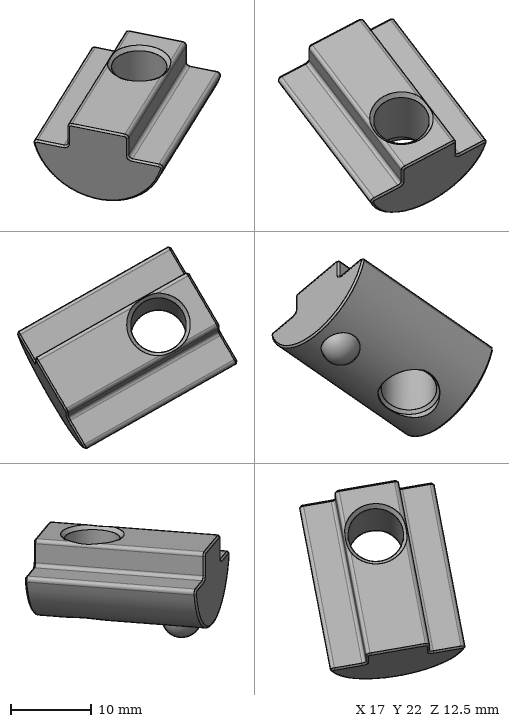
import cadquery as cq
import math

length = 22.0
neck_width = 8.0
neck_height = 3.5
body_height = 10.67
belly_radius = 8.8
edge_radius = 0.5
end_chamfer = 0.25

hole_diameter = 6.9
hole_y = 4.49
countersink_diameter = 7.92
relief_diameter = 7.7
relief_height = 1.0

ball_radius = 2.49
ball_y = -7.0
total_height = 12.5

belly_center_z = belly_radius - body_height
flange_half_width = math.sqrt(belly_radius**2 - (neck_height + belly_center_z) ** 2)


def make_body():
    """T-shaped bar with a round belly, rounded long edges and chamfered ends."""
    neck_half = neck_width / 2
    profile = (
        cq.Workplane("XZ", origin=(0, length / 2, 0))
        .moveTo(-neck_half, 0)
        .lineTo(neck_half, 0)
        .lineTo(neck_half, -neck_height)
        .lineTo(flange_half_width, -neck_height)
        .threePointArc((0, -body_height), (-flange_half_width, -neck_height))
        .lineTo(-neck_half, -neck_height)
        .close()
    )
    bar = profile.extrude(length).edges("|Y").fillet(edge_radius)
    return bar.faces("<Y or >Y").chamfer(end_chamfer)


def make_hole_cutter():
    """Through hole with a countersunk top and a wider, coned mouth in the belly."""
    hole_radius = hole_diameter / 2
    relief_radius = relief_diameter / 2
    countersink_depth = countersink_diameter / 2 - hole_radius
    relief_top = relief_height - body_height
    cone_top = relief_top + relief_radius - hole_radius
    return (
        cq.Workplane("XZ", origin=(0, hole_y, 0))
        .moveTo(0, 0)
        .lineTo(countersink_diameter / 2, 0)
        .lineTo(hole_radius, -countersink_depth)
        .lineTo(hole_radius, cone_top)
        .lineTo(relief_radius, relief_top)
        .lineTo(relief_radius, -body_height)
        .lineTo(0, -body_height)
        .close()
        .revolve(360, (0, 0), (0, 1))
    )


def make_ball():
    """Detent ball, partly sunk in the belly."""
    return cq.Workplane("XY").sphere(ball_radius).translate((0, ball_y, ball_radius - total_height))


result = make_body().cut(make_hole_cutter()).union(make_ball())